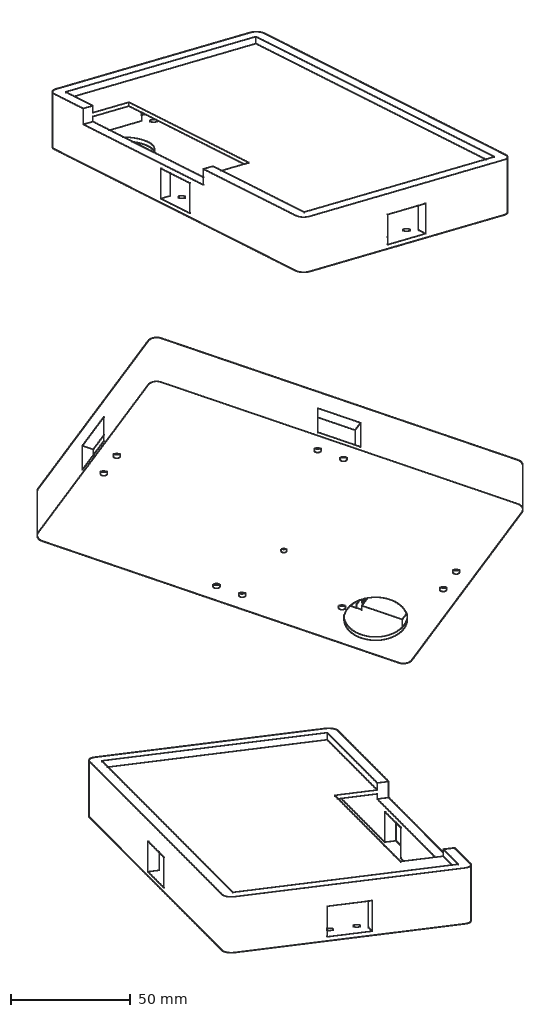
import cadquery as cq

LENGTH = 174.9
WIDTH = 110.0
HEIGHT = 25.0
CORNER_RADIUS = 4.0
WALL = 5.0
FLOOR = 2.0

TRAY_DEPTH = 3.1
DECK_THICKNESS = 1.7
DECK_TOP = HEIGHT - TRAY_DEPTH
CAVITY_HEIGHT = DECK_TOP - DECK_THICKNESS - FLOOR

WINDOW_LEFT = 24.0
WINDOW_LENGTH = 82.9
WINDOW_BACK = 24.0
NOTCH_DEPTH = 7.2

OPENING_WIDTH = 20.0
OPENING_HEIGHT = 13.6
SCREW_DIAMETER = 3.0
SCREW_SPACING = 12.0
SCREW_INSET = 8.0

ROUND_HOLE_DIAMETER = 26.5
ROUND_HOLE_X = 25.0
ROUND_HOLE_Y = 20.0
SIDE_SCREW_OFFSET = 15.7

INNER_HOLE_DIAMETER = 2.5
INNER_HOLE_X = 78.2
INNER_HOLE_Y = 40.2


def corner_box(x, y, z, length, width, height):
    """Box placed by its lowest corner."""
    return cq.Workplane("XY").box(length, width, height, centered=False).translate((x, y, z))


def floor_holes(points, diameter):
    """Round cutters through the floor."""
    return cq.Workplane("XY").pushPoints(points).circle(diameter / 2).extrude(FLOOR)


def opening_screw_points():
    """Screw hole pairs behind the four wall openings."""
    points = []
    for side in (-1, 1):
        along_x = LENGTH / 2 + side * SCREW_SPACING / 2
        along_y = WIDTH / 2 + side * SCREW_SPACING / 2
        points += [(along_x, SCREW_INSET), (along_x, WIDTH - SCREW_INSET)]
        points += [(SCREW_INSET, along_y), (LENGTH - SCREW_INSET, along_y)]
    return points


inner_length = LENGTH - 2 * WALL
inner_width = WIDTH - 2 * WALL
case = corner_box(0, 0, 0, LENGTH, WIDTH, HEIGHT).edges("|Z").fillet(CORNER_RADIUS)
case = case.cut(corner_box(WALL, WALL, DECK_TOP, inner_length, inner_width, TRAY_DEPTH))
case = case.cut(corner_box(WALL, WALL, FLOOR, inner_length, inner_width, CAVITY_HEIGHT))

case = case.cut(
    corner_box(WINDOW_LEFT, 0, HEIGHT - NOTCH_DEPTH, WINDOW_LENGTH, WINDOW_BACK, NOTCH_DEPTH)
)

opening_x = (LENGTH - OPENING_WIDTH) / 2
opening_y = (WIDTH - OPENING_WIDTH) / 2
case = case.cut(corner_box(opening_x, 0, FLOOR, OPENING_WIDTH, WIDTH, OPENING_HEIGHT))
case = case.cut(corner_box(0, opening_y, FLOOR, LENGTH, OPENING_WIDTH, OPENING_HEIGHT))

side_screw = (ROUND_HOLE_X + SIDE_SCREW_OFFSET, ROUND_HOLE_Y)
case = case.cut(floor_holes([(ROUND_HOLE_X, ROUND_HOLE_Y)], ROUND_HOLE_DIAMETER))
case = case.cut(floor_holes(opening_screw_points() + [side_screw], SCREW_DIAMETER))
case = case.cut(floor_holes([(INNER_HOLE_X, INNER_HOLE_Y)], INNER_HOLE_DIAMETER))

result = case